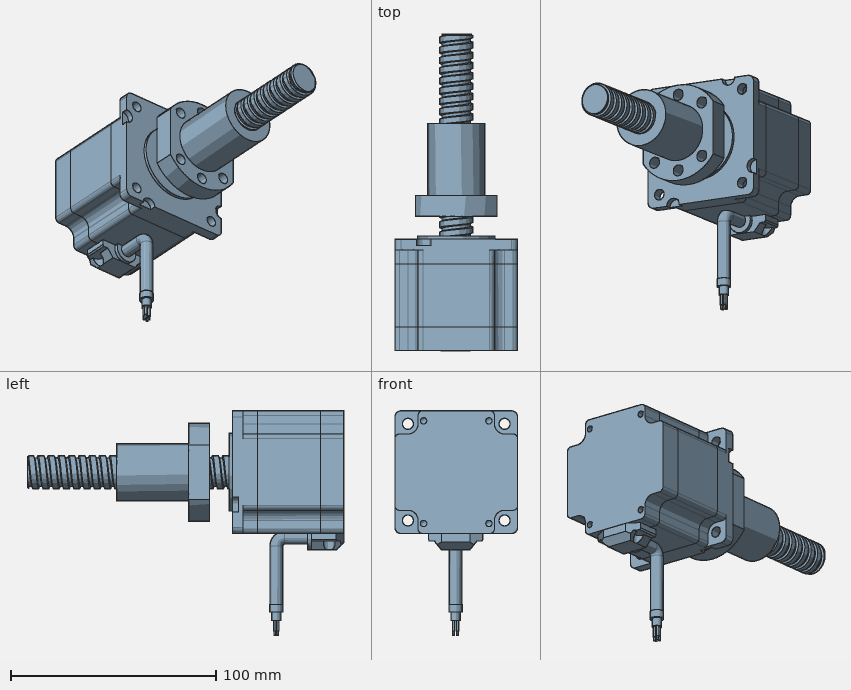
import cadquery as cq
import math


motor_side = 60.0
half_side = motor_side / 2
cover_rear_y = 0.2
stator_rear_y = 11.6
stator_front_y = 42.3
plate_rear_y = 49.3
plate_front_y = 54.5
plate_corner_radius = 3.1

mount_hole_spacing = 47.1
mount_hole_diameter = 5.3
corner_pocket_radius = 5.0
corner_pocket_side = half_side - mount_hole_spacing / 2 + corner_pocket_radius
pocket_lip_radius = 2.3

pilot_diameter = 38.0
pilot_height = 1.5
pilot_front_y = plate_front_y + pilot_height

edge_notch_diameter = 7.1
edge_notch_depth = 3.1
edge_notch_offset = 15.8

cover_screw_pitch_x = 31.8
cover_screw_pitch_z = 50.0
cover_screw_diameter = 3.1
cover_screw_depth = 4.6
drill_point_angle = 118

motor_bottom_z = -half_side
connector_length = 15.9
connector_half_width = 13.3
connector_drop = 7.9
connector_floor_half_width = 7.0
ear_drop = 3.7
ear_edge_chamfer_width = 0.5
ear_edge_chamfer_height = 1.0
slope_run = 3.4
connector_x = -0.3
rear_corner_setback = 3.9
rear_bevel = 3.7
ear_recess_diameter = 5.7
ear_recess_y = 7.3
ear_recess_x = 9.6

cable_diameter = 6.3
cable_axis_z = motor_bottom_z - 2.0
cable_bend_radius = 4.0
cable_drop_y = 33.0
gland_length = 1.9
gland_radius = cable_axis_z - (motor_bottom_z - connector_drop)
sleeve_diameter = 6.6
sleeve_top_z = -64.6
sleeve_bottom_z = -68.3
sheath_diameter = 4.6
sheath_bottom_z = -72.5
wire_diameter = 1.2
wire_bottom_z = -77.5
wire_core_diameter = 1.0
wire_tip_z = -79.5
wire_pitch_x = 2.0
wire_pitch_y = 1.4

screw_diameter = 16.2
screw_end_y = 154.5
screw_end_chamfer = 0.8
thread_pitch = 5.0
groove_width = 2.3
groove_root_width = 1.4
groove_depth = 1.1
groove_overcut = 0.3
groove_start_angle = -33
rod_seam_angle = 37

nut_rear_y = 65.7
nut_flange_front_y = 75.9
nut_front_y = 111.0
nut_barrel_diameter = 28.0
nut_flange_diameter = 47.9
nut_flange_across_flats = 39.9
nut_hole_diameter = 5.5
nut_hole_circle_radius = 19.0
nut_hole_angles = [45, 90, 135, 225, 270, 315]


def section(front_y):
    """Workplane across the screw axis; extruding from it runs toward -Y."""
    return cq.Workplane("XZ", origin=(0, front_y, 0))


def motor_prism(rear_y, front_y):
    """Length of motor housing: a square with a rounded clearance at each corner."""
    inner_side = motor_side - 2 * corner_pocket_side
    length = front_y - rear_y
    prism = (
        section(front_y).rect(motor_side, inner_side).extrude(length)
        .union(section(front_y).rect(inner_side, motor_side).extrude(length))
    )
    prism = prism.edges("|Y and (>X or <X or >Z or <Z)").fillet(pocket_lip_radius)
    reach = inner_side / 2 + pocket_lip_radius / 2
    near_axis = cq.selectors.BoxSelector((-reach, rear_y, -reach), (reach, front_y, reach))
    return prism.edges("|Y").edges(near_axis).fillet(corner_pocket_radius)


def make_front_cover():
    plate = (
        section(plate_front_y).rect(motor_side, motor_side)
        .extrude(plate_front_y - plate_rear_y)
        .edges("|Y").fillet(plate_corner_radius)
    )
    mount_holes = (
        section(plate_front_y)
        .rect(mount_hole_spacing, mount_hole_spacing, forConstruction=True).vertices()
        .circle(mount_hole_diameter / 2).extrude(plate_front_y - plate_rear_y)
    )
    pilot = section(pilot_front_y).circle(pilot_diameter / 2).extrude(pilot_height)
    cover = plate.union(motor_prism(stator_front_y, plate_rear_y)).cut(mount_holes).union(pilot)

    notch = (
        section(plate_front_y).center(-edge_notch_offset, half_side)
        .circle(edge_notch_diameter / 2).extrude(edge_notch_depth)
    )
    for quarter in range(4):
        cover = cover.cut(notch.rotate((0, 0, 0), (0, 1, 0), 90 * quarter))
    return cover


def make_connector():
    """Connector block: the overlap of its profiles across Y, Z and X."""
    ear_bottom_z = motor_bottom_z - ear_drop
    floor_z = motor_bottom_z - connector_drop
    right_half = [
        (connector_half_width, motor_bottom_z),
        (connector_half_width, ear_bottom_z + ear_edge_chamfer_height),
        (connector_half_width - ear_edge_chamfer_width, ear_bottom_z),
        (connector_floor_half_width + slope_run, ear_bottom_z),
        (connector_floor_half_width, floor_z),
    ]
    left_half = [(-x, z) for x, z in reversed(right_half)]
    front_profile = section(connector_length).polyline(right_half + left_half).close()
    block = front_profile.extrude(connector_length)

    plan = [
        (-connector_floor_half_width, 0),
        (connector_floor_half_width, 0),
        (connector_half_width, rear_corner_setback),
        (connector_half_width, connector_length),
        (-connector_half_width, connector_length),
        (-connector_half_width, rear_corner_setback),
    ]
    block = block.intersect(
        cq.Workplane("XY", origin=(0, 0, floor_z)).polyline(plan).close().extrude(connector_drop)
    )

    bevel = (
        cq.Workplane("YZ", origin=(-connector_half_width, 0, 0))
        .polyline([(0, floor_z), (rear_bevel, floor_z), (0, floor_z + rear_bevel)]).close()
        .extrude(2 * connector_half_width)
    )
    ear_recesses = (
        cq.Workplane("XY", origin=(0, 0, floor_z))
        .pushPoints([(-ear_recess_x, ear_recess_y), (ear_recess_x, ear_recess_y)])
        .circle(ear_recess_diameter / 2).extrude(connector_drop - ear_drop)
    )
    gland = (
        section(connector_length + gland_length).center(0, cable_axis_z)
        .circle(gland_radius).extrude(gland_length)
    )
    return block.cut(bevel).cut(ear_recesses).union(gland)


def round_bar(diameter, top_z, bottom_z, points):
    """Upright round bars hanging from top_z to bottom_z."""
    return (
        cq.Workplane("XY", origin=(0, 0, bottom_z)).pushPoints(points)
        .circle(diameter / 2).extrude(top_z - bottom_z)
    )


def make_cable():
    bend_start_y = cable_drop_y - cable_bend_radius
    bend_end_z = cable_axis_z - cable_bend_radius
    path = (
        cq.Workplane("YZ").moveTo(connector_length, cable_axis_z)
        .lineTo(bend_start_y, cable_axis_z)
        .radiusArc((cable_drop_y, bend_end_z), cable_bend_radius)
        .lineTo(cable_drop_y, sleeve_top_z)
    )
    cable = (
        cq.Workplane("XZ", origin=(0, connector_length, cable_axis_z))
        .circle(cable_diameter / 2).sweep(path)
    )
    axis = [(0, cable_drop_y)]
    wire_points = [
        (sx * wire_pitch_x / 2, cable_drop_y + sy * wire_pitch_y / 2)
        for sx in (-1, 1) for sy in (-1, 1)
    ]
    return (
        cable
        .union(round_bar(sleeve_diameter, sleeve_top_z, sleeve_bottom_z, axis))
        .union(round_bar(sheath_diameter, sleeve_bottom_z, sheath_bottom_z, axis))
        .union(round_bar(wire_diameter, sheath_bottom_z, wire_bottom_z, wire_points))
        .union(round_bar(wire_core_diameter, wire_bottom_z, wire_tip_z, wire_points))
    )


def make_rear_cover():
    """Rear cover with its connector and cable."""
    drill_radius = cover_screw_diameter / 2
    point_length = drill_radius / math.tan(math.radians(drill_point_angle / 2))
    drill = (
        cq.Workplane("XY")
        .polyline([
            (0, 0), (drill_radius, 0), (drill_radius, cover_screw_depth),
            (0, cover_screw_depth + point_length),
        ]).close()
        .revolve(360, (0, 0, 0), (0, 1, 0))
    )
    cover = motor_prism(cover_rear_y, stator_rear_y)
    for sx in (-1, 1):
        for sz in (-1, 1):
            cover = cover.cut(drill.translate(
                (sx * cover_screw_pitch_x / 2, cover_rear_y, sz * cover_screw_pitch_z / 2)
            ))
    lead = make_connector().union(make_cable()).translate((connector_x, 0, 0))
    return cover.union(lead)


def make_stator(rear_cover):
    """Stator, recessed underneath where the gland and cable press into it."""
    return motor_prism(stator_rear_y, stator_front_y).cut(rear_cover)


def make_screw():
    """Threaded screw standing on the pilot face, modelled along Z and then laid along Y."""
    length = screw_end_y - pilot_front_y
    screw_radius = screw_diameter / 2

    groove_bottom = -thread_pitch
    groove_length = length + 2 * thread_pitch
    rod = (
        cq.Workplane("XY", origin=(0, 0, groove_bottom - thread_pitch))
        .circle(screw_radius).extrude(groove_length + 2 * thread_pitch)
        .rotate((0, 0, 0), (0, 0, 1), rod_seam_angle)
    )
    root_radius = screw_radius - groove_depth
    outer_radius = screw_radius + groove_overcut
    flank_spread = (groove_width - groove_root_width) / groove_depth
    outer_width = groove_width + groove_overcut * flank_spread
    helix = cq.Wire.makeHelix(thread_pitch, groove_length, screw_radius)
    groove = (
        cq.Workplane("XZ")
        .polyline([
            (root_radius, -groove_root_width / 2), (outer_radius, -outer_width / 2),
            (outer_radius, outer_width / 2), (root_radius, groove_root_width / 2),
        ]).close()
        .sweep(cq.Workplane(obj=helix), isFrenet=True)
        .translate((0, 0, groove_bottom))
    )
    end_radius = screw_radius - screw_end_chamfer
    trim = (
        cq.Workplane("XZ")
        .polyline([
            (0, 0), (outer_radius, 0), (outer_radius, length - (outer_radius - end_radius)),
            (end_radius, length), (0, length),
        ]).close()
        .revolve(360, (0, 0, 0), (0, 1, 0))
    )
    return (
        rod.cut(groove).intersect(trim)
        .rotate((0, 0, 0), (0, 0, 1), groove_start_angle)
        .rotate((0, 0, 0), (1, 0, 0), -90)
        .translate((0, pilot_front_y, 0))
    )


def make_nut():
    barrel = section(nut_front_y).circle(nut_barrel_diameter / 2).extrude(nut_front_y - nut_rear_y)
    flange_length = nut_flange_front_y - nut_rear_y
    flange = section(nut_flange_front_y).circle(nut_flange_diameter / 2).extrude(flange_length)
    flats = (
        section(nut_flange_front_y).rect(nut_flange_across_flats, nut_flange_diameter)
        .extrude(flange_length)
    )
    hole_points = [
        (
            nut_hole_circle_radius * math.cos(math.radians(angle)),
            nut_hole_circle_radius * math.sin(math.radians(angle)),
        )
        for angle in nut_hole_angles
    ]
    holes = (
        section(nut_flange_front_y).pushPoints(hole_points)
        .circle(nut_hole_diameter / 2).extrude(flange_length)
    )
    bore = section(nut_front_y).circle(screw_diameter / 2).extrude(nut_front_y - nut_rear_y)
    return flange.intersect(flats).cut(holes).union(barrel).cut(bore)


front_cover = make_front_cover()
rear_cover = make_rear_cover()
stator = make_stator(rear_cover)
screw = make_screw()
nut = make_nut()

result = cq.Compound.makeCompound([
    front_cover.solids().val(),
    stator.solids().val(),
    rear_cover.solids().val(),
    screw.solids().val(),
    nut.solids().val(),
])